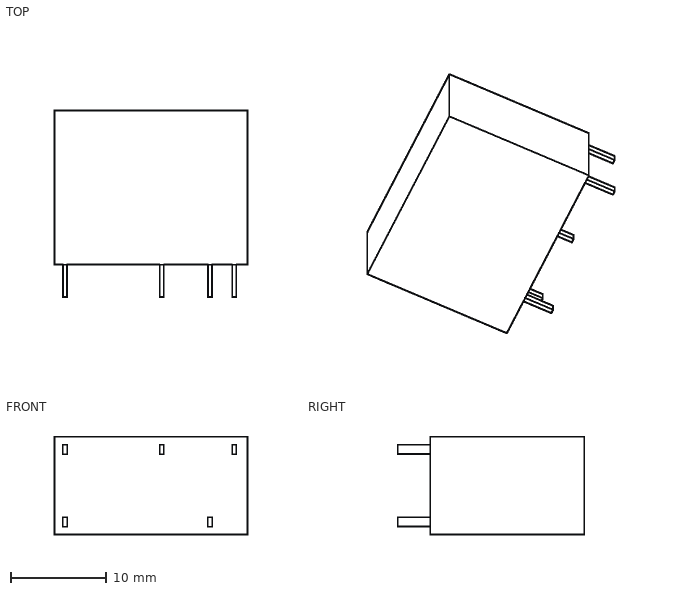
import cadquery as cq

body_length = 20.3
body_depth = 16.2
body_height = 10.3

pin_length = 3.41
pin_thickness = 0.45
pin_width = 1.0

grid_pitch = 2.54
first_column_x = 1.12
row_spacing = 3 * grid_pitch
lower_row_z = (body_height - row_spacing) / 2
upper_row_z = lower_row_z + row_spacing

lower_columns = [0, 6]
upper_columns = [0, 4, 7]


def make_pin(column, row_z):
    """Return a rectangular pin standing out from the housing face at y = 0."""
    pin = cq.Workplane("XY").box(
        pin_thickness, pin_length, pin_width, centered=(True, False, True)
    )
    return pin.translate((first_column_x + column * grid_pitch, -pin_length, row_z))


result = cq.Workplane("XY").box(body_length, body_depth, body_height, centered=False)
for row_z, columns in [(lower_row_z, lower_columns), (upper_row_z, upper_columns)]:
    for column in columns:
        result = result.union(make_pin(column, row_z))